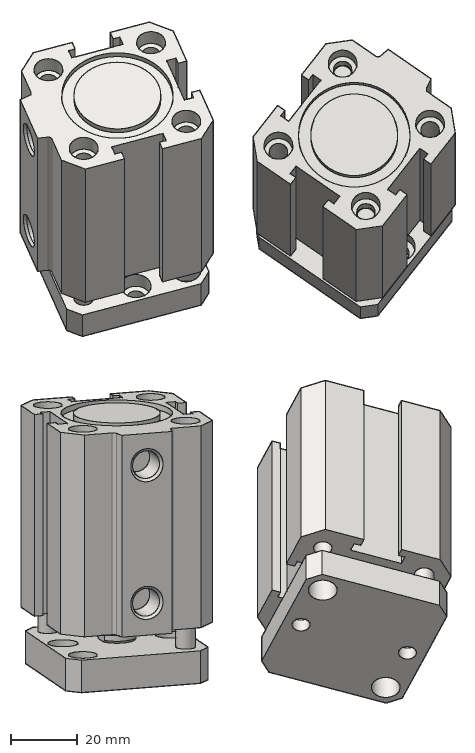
import cadquery as cq

total_height = 79.5

housing_side = 48.0
housing_bottom = 17.5
housing_bevel = 5.65
half_side = housing_side / 2
housing_height = total_height - housing_bottom

pad_depth = 4.0
pad_face_half_width = 7.95
pad_base_half_width = 8.75
pad_fillet = 1.1

slot_mouth_width = 12.0
slot_lip_depth = 2.7
slot_inner_width = 16.2
slot_depth = 5.65

groove_outer_diameter = 33.3
groove_inner_diameter = 26.0
groove_depth = 1.75

corner_offset = 16.2
bolt_diameter = 5.5
bolt_head_diameter = 8.6
bolt_head_depth = 5.5

port_diameter = 8.5
port_mouth_diameter = 10.2
port_depth = 10.0
port_heights = (27.4, 69.7)

nose_diameter = 26.0
nose_bottom = 13.9
nose_bevel_height = 1.2
nose_bevel_inset = 0.9

plate_side = 45.0
plate_thickness = 10.0
plate_bevel = 3.7
plate_screw_offset = 17.0
plate_screw_diameter = 5.3
plate_screw_head_diameter = 9.0
plate_screw_head_depth = 5.5

guide_rod_diameter = 6.0
guide_rod_cover = 4.0
guide_rod_top = total_height - bolt_head_depth - guide_rod_cover
piston_rod_diameter = 12.0
piston_rod_top = housing_bottom
rod_flat_width = 10.0
rod_flat_top = 13.1
rod_end_bevel_height = 0.7
rod_end_bevel_inset = 0.5

bolt_corners = [(-corner_offset, -corner_offset), (corner_offset, corner_offset)]
rod_corners = [(-corner_offset, corner_offset), (corner_offset, -corner_offset)]


def cylinder(diameter, bottom, top, centers=((0, 0),)):
    """Upright cylinders of one diameter between two heights."""
    return (
        cq.Workplane("XY", origin=(0, 0, bottom))
        .pushPoints(list(centers))
        .circle(diameter / 2)
        .extrude(top - bottom)
    )


def bevelled_block(side, bevel, bottom, height):
    """Square block with bevelled upright edges."""
    block = cq.Workplane("XY", origin=(0, 0, bottom)).rect(side, side).extrude(height)
    return block.edges("|Z").chamfer(bevel)


def port_pad():
    """Tapered pad for the -Y face; its root lies on that face."""
    root = -half_side
    front = root - pad_depth
    outline = [
        (-pad_base_half_width, root),
        (-pad_face_half_width, front),
        (pad_face_half_width, front),
        (pad_base_half_width, root),
    ]
    base = cq.Workplane("XY", origin=(0, 0, housing_bottom))
    return base.polyline(outline).close().extrude(housing_height)


def add_port_pad(housing):
    """Join the pad to the housing and round the two inner corners at its root."""
    housing = housing.union(port_pad())
    reach = pad_base_half_width + pad_fillet
    root_zone = cq.selectors.BoxSelector(
        (-reach, -half_side - pad_fillet, housing_bottom),
        (reach, -half_side + pad_fillet, total_height),
    )
    return housing.edges("|Z").edges(root_zone).fillet(pad_fillet)


def upright_bar(x_start, x_end, width):
    """Full-height rectangular bar between two X places, centred on Y."""
    center_x = (x_start + x_end) / 2
    return (
        cq.Workplane("XY", origin=(center_x, 0, housing_bottom))
        .rect(x_end - x_start, width)
        .extrude(housing_height)
    )


def t_slot(angle):
    """T-slot cutter for the +X face, turned about Z."""
    floor_x = half_side - slot_depth
    lip_x = half_side - slot_lip_depth
    mouth = upright_bar(floor_x, half_side, slot_mouth_width)
    inner = upright_bar(floor_x, lip_x, slot_inner_width)
    return mouth.union(inner).rotate((0, 0, 0), (0, 0, 1), angle)


def air_port(height):
    """Blind port cutter with a conical mouth, bored along +Y from the pad."""
    mouth_bevel = (port_mouth_diameter - port_diameter) / 2
    pad_front = -half_side - pad_depth
    return (
        cq.Workplane("XY", origin=(0, pad_front, height))
        .lineTo(port_mouth_diameter / 2, 0)
        .lineTo(port_diameter / 2, mouth_bevel)
        .lineTo(port_diameter / 2, port_depth)
        .lineTo(0, port_depth)
        .close()
        .revolve(360, (0, 0, 0), (0, 1, 0))
    )


def nose():
    """Round nose under the housing with a bevelled rim."""
    drum = cylinder(nose_diameter, nose_bottom, housing_bottom)
    return drum.faces("<Z").edges().chamfer(nose_bevel_height, nose_bevel_inset)


def make_housing():
    """Cylinder housing with its pad, nose, slots, holes, ports and rod sockets."""
    housing = bevelled_block(housing_side, housing_bevel, housing_bottom, housing_height)
    housing = add_port_pad(housing).union(nose())

    for angle in (0, 90, 180):
        housing = housing.cut(t_slot(angle))

    groove_floor = total_height - groove_depth
    groove = cylinder(groove_outer_diameter, groove_floor, total_height)
    groove = groove.cut(cylinder(groove_inner_diameter, groove_floor, total_height))
    housing = housing.cut(groove)

    all_corners = bolt_corners + rod_corners
    housing = housing.cut(cylinder(bolt_diameter, housing_bottom, total_height, all_corners))
    housing = housing.cut(
        cylinder(bolt_head_diameter, total_height - bolt_head_depth, total_height, all_corners)
    )

    for height in port_heights:
        housing = housing.cut(air_port(height))

    housing = housing.cut(cylinder(guide_rod_diameter, housing_bottom, guide_rod_top, rod_corners))
    return housing.cut(cylinder(piston_rod_diameter, nose_bottom, piston_rod_top))


def piston_rod():
    """Rod with two flats and a bevelled end that stands on the plate."""
    rod = cylinder(piston_rod_diameter, plate_thickness, piston_rod_top)
    rod = rod.faces("<Z").edges().chamfer(rod_end_bevel_height, rod_end_bevel_inset)
    flat_height = rod_flat_top - plate_thickness
    between_flats = cq.Workplane("XY", origin=(0, 0, plate_thickness))
    between_flats = between_flats.rect(rod_flat_width, piston_rod_diameter).extrude(flat_height)
    full_round = cylinder(piston_rod_diameter, rod_flat_top, piston_rod_top)
    return rod.intersect(between_flats.union(full_round))


def make_moving_plate():
    """Plate joined to the two guide rods and the piston rod."""
    plate = bevelled_block(plate_side, plate_bevel, 0, plate_thickness)
    plate = plate.cut(cylinder(bolt_head_diameter, 0, plate_thickness, bolt_corners))

    screw_places = [(-plate_screw_offset, 0), (plate_screw_offset, 0)]
    plate = plate.cut(cylinder(plate_screw_diameter, 0, plate_thickness, screw_places))
    head_floor = plate_thickness - plate_screw_head_depth
    plate = plate.cut(cylinder(plate_screw_head_diameter, head_floor, plate_thickness, screw_places))

    plate = plate.union(cylinder(guide_rod_diameter, plate_thickness, guide_rod_top, rod_corners))
    return plate.union(piston_rod())


housing = make_housing()
moving_plate = make_moving_plate()

result = cq.Compound.makeCompound([housing.val(), moving_plate.val()])